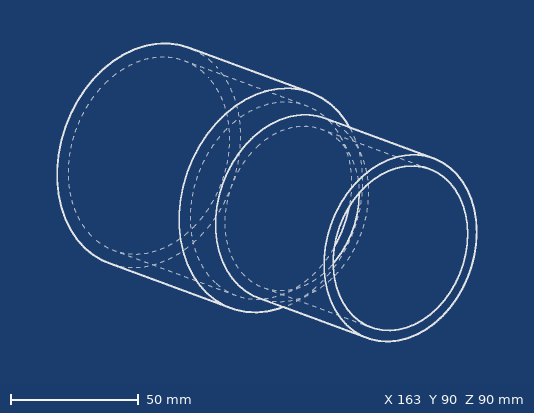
import cadquery as cq

total_length = 163.0
large_end_length = 79.0
taper_length = 13.7
taper_end = large_end_length + taper_length

large_outer_diameter = 90.0
large_bore_diameter = 79.2
small_outer_diameter = 75.0
small_bore_diameter = 66.0


def stepped_body(large_diameter, small_diameter):
    """Solid of revolution about X: large cylinder, cone, small cylinder."""
    large_radius = large_diameter / 2
    small_radius = small_diameter / 2
    return (
        cq.Workplane("XY")
        .moveTo(0, 0)
        .lineTo(0, large_radius)
        .lineTo(large_end_length, large_radius)
        .lineTo(taper_end, small_radius)
        .lineTo(total_length, small_radius)
        .lineTo(total_length, 0)
        .close()
        .revolve(360, (0, 0, 0), (1, 0, 0))
    )


outer_body = stepped_body(large_outer_diameter, small_outer_diameter)
bore = stepped_body(large_bore_diameter, small_bore_diameter)
result = outer_body.cut(bore)